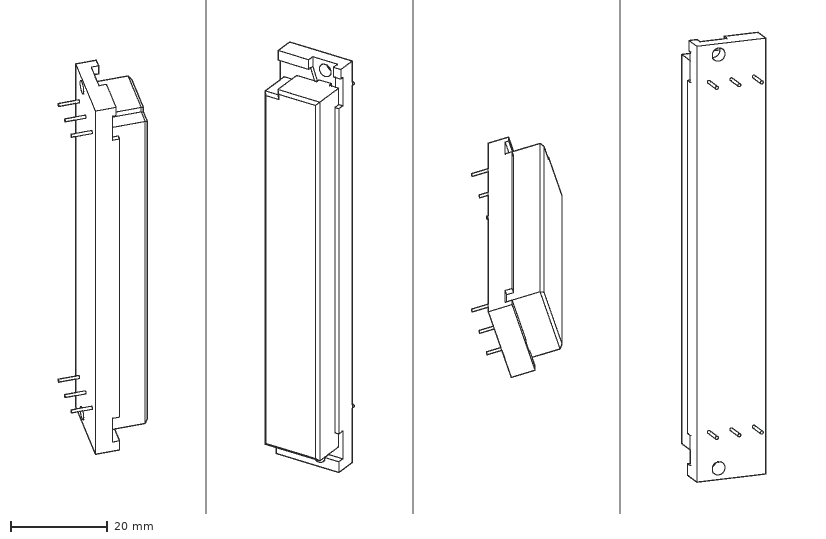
import cadquery as cq

length = 94.9
base_width = 15.5
total_depth = 16.1
pin_length = 4.5
housing_front = total_depth - pin_length
top = length / 2
bottom = -length / 2

base_depth = 5.2
top_lip_depth = 4.5
recess_depth = 3.7

top_lip_height = 2.3
bottom_lip_height = 2.6
top_recess_end = 8.9
bottom_recess_end = 9.1

housing_width = 13.5
housing_top = top - 5.0
housing_bottom = bottom + 5.1
housing_chamfer = 0.7
step_x = 3.6
step_drop = 1.2

hole_x = -2.8
hole_diameter = 2.8
hole_top_offset = 2.4
hole_spacing = 90.1
pocket_width = 6.1
pocket_floor = 2.8
pocket_tongue_width = 3.1
pocket_corner_depth = 1.4

pin_diameter = 0.7
pin_pitch = 5.0
pin_top_offset = 8.1
pin_row_spacing = 76.2


def make_base():
    """Side profile with a lip at each end, extruded across the width."""
    profile = [
        (0, bottom),
        (base_depth, bottom),
        (base_depth, bottom + bottom_lip_height),
        (recess_depth, bottom + bottom_lip_height),
        (recess_depth, bottom + bottom_recess_end),
        (base_depth, bottom + bottom_recess_end),
        (base_depth, top - top_recess_end),
        (recess_depth, top - top_recess_end),
        (recess_depth, top - top_lip_height),
        (top_lip_depth, top - top_lip_height),
        (top_lip_depth, top),
        (0, top),
    ]
    return cq.Workplane("YZ").polyline(profile).close().extrude(base_width / 2, both=True)


def make_housing():
    """Tall block with one stepped top corner and a chamfered front rim."""
    side = housing_width / 2
    outline = [
        (-side, housing_bottom),
        (side, housing_bottom),
        (side, housing_top - step_drop),
        (step_x, housing_top - step_drop),
        (step_x, housing_top),
        (-side, housing_top),
    ]
    block = cq.Workplane("XZ").polyline(outline).close().extrude(-housing_front)
    return block.faces(">Y").chamfer(housing_chamfer)


def make_pocket():
    """Pocket at the top hole, running past the housing end on both sides of a tongue."""
    left = hole_x - pocket_width / 2
    right = hole_x + pocket_width / 2
    tongue_left = hole_x - pocket_tongue_width / 2
    tongue_right = hole_x + pocket_tongue_width / 2
    corner_z = housing_top - pocket_corner_depth
    outline = [
        (left, top),
        (left, corner_z),
        (tongue_left, corner_z),
        (tongue_left, housing_top),
        (tongue_right, housing_top),
        (tongue_right, corner_z),
        (right, top - top_lip_height),
        (right, top),
    ]
    pocket = cq.Workplane("XZ", origin=(0, pocket_floor, 0)).polyline(outline).close()
    open_pocket = pocket.extrude(-(top_lip_depth - pocket_floor))
    housing_zone = (
        cq.Workplane("XZ", origin=(0, recess_depth, 0))
        .rect(base_width, 2 * housing_top)
        .extrude(-(housing_front - recess_depth))
    )
    return open_pocket.cut(housing_zone)


def make_holes():
    z = top - hole_top_offset
    centers = [(hole_x, z), (hole_x, z - hole_spacing)]
    return cq.Workplane("XZ").pushPoints(centers).circle(hole_diameter / 2).extrude(-base_depth)


def make_pins():
    """Two rows of three pins on the rear face."""
    z = top - pin_top_offset
    centers = [
        (column * pin_pitch, row_z)
        for row_z in (z, z - pin_row_spacing)
        for column in (-1, 0, 1)
    ]
    return cq.Workplane("XZ").pushPoints(centers).circle(pin_diameter / 2).extrude(pin_length)


body = make_base().union(make_housing())
body = body.cut(make_pocket()).cut(make_holes())
result = body.union(make_pins())